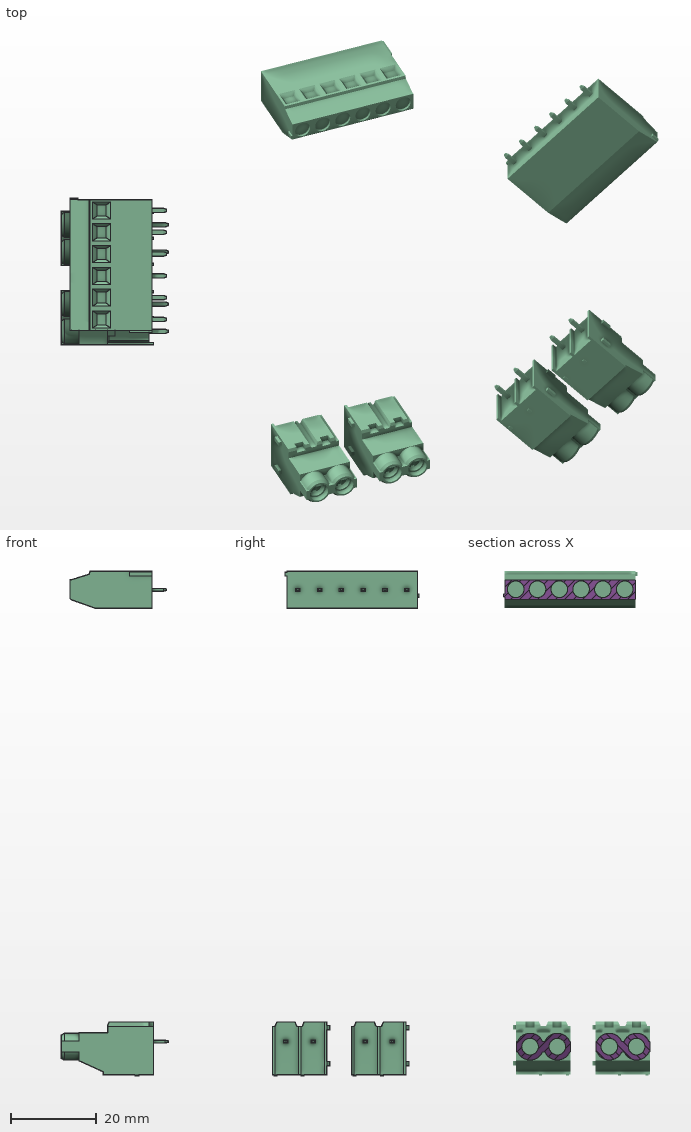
import cadquery as cq


PIN_WIDTH = 1.1
PIN_HEIGHT = 0.7
PIN_TIP_LENGTH = 0.7
PIN_TIP_RATIO = 0.5

HEADER_POLES = 6
HEADER_TOP_Z = 117.7
HEADER_REAR_X = 21.2
HEADER_LENGTH = 30.5
HEADER_PITCH = HEADER_LENGTH / HEADER_POLES
HEADER_Y = 3.4
HEADER_FRONT_X = 2.0
HEADER_BOTTOM_Z = 109.0
HEADER_NOSE_BOTTOM_Z = 111.0
HEADER_NOSE_TOP_Z = 115.7
HEADER_UNDERCUT_X = 8.0
HEADER_STEP_X = 6.5
HEADER_STEP_HEIGHT = 0.7
HEADER_STEP_RUN = 0.2
HEADER_LIP = 0.4
HEADER_EDGE_BREAK = 0.4
ENTRY_DIAMETER = 3.8
ENTRY_DEPTH = 0.6
ENTRY_Z = 113.5
POCKET_X = 9.4
POCKET_LENGTH = 4.2
POCKET_WIDTH = 4.0
POCKET_FLOOR_LENGTH = 2.1
POCKET_FLOOR_WIDTH = 2.6
POCKET_DEPTH = 0.8
HEADER_PIN_END_X = 24.6
HEADER_PIN_Z = 113.3
RAIL_LENGTH = 5.3
RAIL_WIDTH = 0.5
RAIL_HEIGHT = 1.0
RAIL_DROP = 0.2
LUG_LENGTH = 1.9
LUG_WIDTH = 0.4
LUG_HEIGHT = 0.8
LUG_Z = 111.6

MODULE_COUNT = 2
MODULE_SPACING = 18.5
MODULE_POLES = 2
POLE_PITCH = 6.4
MODULE_WIDTH = MODULE_POLES * POLE_PITCH
MODULE_BOTTOM_Z = 0.2
MODULE_FRONT_X = 4.1
MODULE_REAR_X = 20.5
MODULE_STEP_X = 10.8
MODULE_STEP_Z = 10.1
MODULE_DECK_Z = 11.5
MODULE_NOSE_BOTTOM_Z = 3.5
MODULE_HEEL_X = 9.8
MODULE_HEEL_Z = 1.0

LAND_HEIGHT = 1.1
LAND_TOP_WIDTH = 4.2
LAND_FOOT_WIDTH = 5.2
LAND_BEVEL_LENGTH = 0.4
LAND_BEVEL_HEIGHT = 0.7
NOTCH_LENGTH = 1.6
NOTCH_WIDTH = 2.1
NOTCH_DEPTH = 1.4

BARREL_Z = 6.8
BARREL_DIAMETER = 6.4
BARREL_CHAMFER_LENGTH = 0.7
BARREL_CHAMFER_RADIAL = 0.5
WEB_HEIGHT = 2.6
BORE_DIAMETER = 4.6
BORE_DEPTH = 1.4
SEAT_DIAMETER = 3.8
SEAT_DEPTH = 1.4
CROSS_WIDTH = 1.0
CROSS_DEPTH = 0.6

RIB_LENGTH = 1.1
RIB_WIDTH = 0.6
TAB_X = 15.3
TAB_LENGTH = 2.4
TAB_WIDTH = 0.7
TAB_HEIGHT = 1.1
TAB_HEIGHTS_Z = (2.4, 10.7)
FOOT_X = 17.2
FOOT_LENGTH = 1.0
FOOT_WIDTH = 0.7
FOOT_OFFSET = 0.4
MODULE_PIN_END_X = 25.0
MODULE_PIN_Z = 8.0


def box(x, y, z, length, width, height):
    """Box with its lowest corner at (x, y, z)."""
    return cq.Workplane("XY").box(length, width, height, centered=False).translate((x, y, z))


def prism(points, y, width):
    """X-Z outline extruded by width from y toward +Y."""
    return cq.Workplane("XZ", origin=(0, y, 0)).polyline(points).close().extrude(-width)


def rod(x, y, z, diameter, length):
    """Round rod along +X that starts at x."""
    return cq.Workplane("YZ", origin=(x, y, z)).circle(diameter / 2).extrude(length)


def pin(start_x, end_x, y, z):
    """Rectangular pin along X from start_x to end_x, with a tapered tip."""
    shoulder_x = end_x - PIN_TIP_LENGTH
    shank_length = shoulder_x - start_x
    shank = box(start_x, y - PIN_WIDTH / 2, z - PIN_HEIGHT / 2, shank_length, PIN_WIDTH, PIN_HEIGHT)
    tip = (
        cq.Workplane("YZ", origin=(shoulder_x, y, z))
        .rect(PIN_WIDTH, PIN_HEIGHT)
        .workplane(offset=PIN_TIP_LENGTH)
        .rect(PIN_WIDTH * PIN_TIP_RATIO, PIN_HEIGHT * PIN_TIP_RATIO)
        .loft()
    )
    return shank.union(tip)




def header_block():
    """Wedge-nosed housing with a small step above the nose and a broken lower front edge."""
    outline = [
        (HEADER_FRONT_X, HEADER_NOSE_BOTTOM_Z + HEADER_EDGE_BREAK),
        (HEADER_FRONT_X + HEADER_EDGE_BREAK, HEADER_NOSE_BOTTOM_Z),
        (HEADER_UNDERCUT_X, HEADER_BOTTOM_Z),
        (HEADER_REAR_X, HEADER_BOTTOM_Z),
        (HEADER_REAR_X, HEADER_TOP_Z),
        (HEADER_STEP_X + HEADER_STEP_RUN, HEADER_TOP_Z),
        (HEADER_STEP_X, HEADER_TOP_Z - HEADER_STEP_HEIGHT),
        (HEADER_FRONT_X + HEADER_LIP, HEADER_NOSE_TOP_Z),
        (HEADER_FRONT_X, HEADER_NOSE_TOP_Z),
    ]
    return prism(outline, HEADER_Y, HEADER_LENGTH)


def header_pocket(y):
    """Tapered pocket in the top face."""
    return (
        cq.Workplane("XY", origin=(POCKET_X, y, HEADER_TOP_Z))
        .rect(POCKET_LENGTH, POCKET_WIDTH)
        .workplane(offset=-POCKET_DEPTH)
        .rect(POCKET_FLOOR_LENGTH, POCKET_FLOOR_WIDTH)
        .loft()
    )


def make_header():
    header = header_block()
    for index in range(HEADER_POLES):
        y = HEADER_Y + (index + 0.5) * HEADER_PITCH
        header = header.cut(rod(HEADER_FRONT_X, y, ENTRY_Z, ENTRY_DIAMETER, ENTRY_DEPTH))
        header = header.cut(header_pocket(y))
        header = header.union(pin(HEADER_REAR_X, HEADER_PIN_END_X, y, HEADER_PIN_Z))
    rail_z = HEADER_TOP_Z - RAIL_DROP - RAIL_HEIGHT
    rail_x = HEADER_REAR_X - RAIL_LENGTH
    rail = box(rail_x, HEADER_Y - RAIL_WIDTH, rail_z, RAIL_LENGTH, RAIL_WIDTH, RAIL_HEIGHT)
    lug = box(HEADER_FRONT_X, HEADER_Y + HEADER_LENGTH, LUG_Z, LUG_LENGTH, LUG_WIDTH, LUG_HEIGHT)
    return header.union(rail).union(lug)




def module_block():
    """Stepped housing, two poles wide, without its raised lands."""
    outline = [
        (MODULE_FRONT_X, MODULE_NOSE_BOTTOM_Z),
        (MODULE_HEEL_X, MODULE_HEEL_Z),
        (MODULE_HEEL_X, MODULE_BOTTOM_Z),
        (MODULE_REAR_X, MODULE_BOTTOM_Z),
        (MODULE_REAR_X, MODULE_DECK_Z),
        (MODULE_STEP_X, MODULE_DECK_Z),
        (MODULE_STEP_X, MODULE_STEP_Z),
        (MODULE_FRONT_X, MODULE_STEP_Z),
    ]
    return prism(outline, 0, MODULE_WIDTH)


def land(y, reaches_side):
    """Raised land with sloping sides; reaches_side carries it straight up to the +Y side."""
    outline = [
        (y - LAND_FOOT_WIDTH / 2, MODULE_DECK_Z),
        (y - LAND_TOP_WIDTH / 2, MODULE_DECK_Z + LAND_HEIGHT),
    ]
    if reaches_side:
        outline.append((MODULE_WIDTH, MODULE_DECK_Z + LAND_HEIGHT))
        outline.append((MODULE_WIDTH, MODULE_DECK_Z))
    else:
        outline.append((y + LAND_TOP_WIDTH / 2, MODULE_DECK_Z + LAND_HEIGHT))
        outline.append((y + LAND_FOOT_WIDTH / 2, MODULE_DECK_Z))
    length = MODULE_REAR_X - MODULE_STEP_X
    bar = cq.Workplane("YZ", origin=(MODULE_STEP_X, 0, 0)).polyline(outline).close().extrude(length)
    return bar.cut(land_bevel())


def land_bevel():
    """Wedge that bevels the upper front edge of a land."""
    top_z = MODULE_DECK_Z + LAND_HEIGHT
    outline = [
        (MODULE_STEP_X, top_z),
        (MODULE_STEP_X + LAND_BEVEL_LENGTH, top_z),
        (MODULE_STEP_X, top_z - LAND_BEVEL_HEIGHT),
    ]
    return prism(outline, 0, MODULE_WIDTH)


def land_notch(y):
    """Notch in the front end of a land."""
    floor_z = MODULE_DECK_Z + LAND_HEIGHT - NOTCH_DEPTH
    return box(MODULE_STEP_X, y - NOTCH_WIDTH / 2, floor_z, NOTCH_LENGTH, NOTCH_WIDTH, NOTCH_DEPTH)


def barrel(y):
    """Round screw barrel on the front face with a chamfered mouth."""
    straight_length = MODULE_FRONT_X - BARREL_CHAMFER_LENGTH
    straight = rod(BARREL_CHAMFER_LENGTH, y, BARREL_Z, BARREL_DIAMETER, straight_length)
    mouth = (
        cq.Workplane("YZ", origin=(0, y, BARREL_Z))
        .circle(BARREL_DIAMETER / 2 - BARREL_CHAMFER_RADIAL)
        .workplane(offset=BARREL_CHAMFER_LENGTH)
        .circle(BARREL_DIAMETER / 2)
        .loft()
    )
    return straight.union(mouth)


def barrel_bore(y):
    """Stepped bore with a cross slot in its floor."""
    floor_x = BORE_DEPTH + SEAT_DEPTH
    seat = rod(0, y, BARREL_Z, SEAT_DIAMETER, floor_x)
    floor = cq.Workplane("YZ", origin=(floor_x, y, BARREL_Z))
    level_arm = floor.rect(SEAT_DIAMETER, CROSS_WIDTH).extrude(CROSS_DEPTH)
    upright_arm = floor.rect(CROSS_WIDTH, SEAT_DIAMETER).extrude(CROSS_DEPTH)
    cross = level_arm.union(upright_arm).intersect(rod(floor_x, y, BARREL_Z, SEAT_DIAMETER, CROSS_DEPTH))
    return rod(0, y, BARREL_Z, BORE_DIAMETER, BORE_DEPTH).union(seat).union(cross)


def rear_ribs():
    """Upright ribs on the rear wall at the pole boundaries; the +Y one is as tall as the land."""
    ribs = cq.Workplane("XY")
    for index in range(MODULE_POLES + 1):
        y = index * (MODULE_WIDTH - RIB_WIDTH) / MODULE_POLES
        top_z = MODULE_DECK_Z
        if index == MODULE_POLES:
            top_z += LAND_HEIGHT
        height = top_z - MODULE_BOTTOM_Z
        ribs = ribs.union(box(MODULE_REAR_X, y, MODULE_BOTTOM_Z, RIB_LENGTH, RIB_WIDTH, height))
    return ribs


def make_module(base_y):
    module = module_block().union(rear_ribs())
    web_z = BARREL_Z - WEB_HEIGHT / 2
    module = module.union(box(0, 0, web_z, MODULE_FRONT_X, MODULE_WIDTH, WEB_HEIGHT))
    for index in range(MODULE_POLES):
        edge_y = index * POLE_PITCH
        y = edge_y + POLE_PITCH / 2
        module = module.union(land(y, reaches_side=index == MODULE_POLES - 1)).cut(land_notch(y))
        module = module.union(barrel(y))
        module = module.union(pin(MODULE_REAR_X, MODULE_PIN_END_X, y, MODULE_PIN_Z))
        foot = box(FOOT_X, edge_y + FOOT_OFFSET, 0, FOOT_LENGTH, FOOT_WIDTH, MODULE_BOTTOM_Z)
        module = module.union(foot)
    for index in range(MODULE_POLES):
        module = module.cut(barrel_bore((index + 0.5) * POLE_PITCH))
    for tab_z in TAB_HEIGHTS_Z:
        module = module.union(box(TAB_X, MODULE_WIDTH, tab_z, TAB_LENGTH, TAB_WIDTH, TAB_HEIGHT))
    return module.translate((0, base_y, 0))


header = make_header()
modules = [make_module(index * MODULE_SPACING) for index in range(MODULE_COUNT)]

result = cq.Compound.makeCompound([header.val(), *[module.val() for module in modules]])